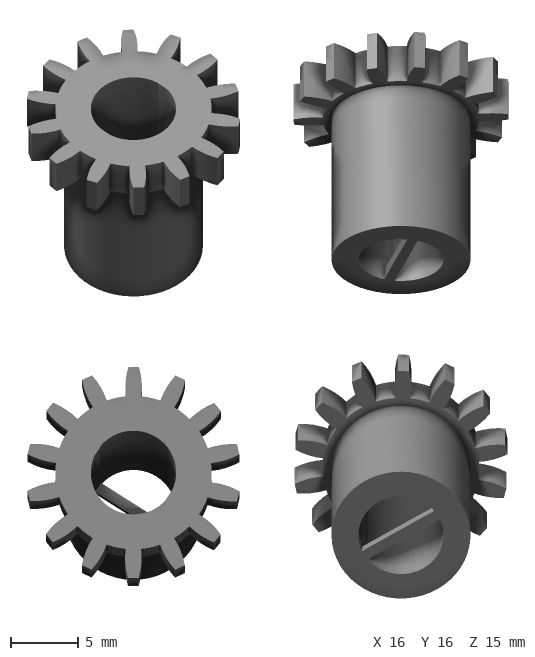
import cadquery as cq
import math

total_height = 15.0
gear_thickness = 3.0
shank_diameter = 10.34
bore_diameter = 6.35

tooth_count = 14
first_tooth_angle = 7.0
root_radius = 5.82
belly_radius = 6.79
tip_corner_radius = 8.0
root_half_width = 0.58
belly_half_width = 0.6
tip_half_width = 0.4

bar_width = 0.8
bar_height = bar_width

flat_spacing = 6.26

gear_base = total_height - gear_thickness


def make_tooth(angle):
    """One tooth with convex flanks and a flat tip, turned to the given angle."""
    root_x = math.sqrt(root_radius**2 - root_half_width**2)
    tip_x = math.sqrt(tip_corner_radius**2 - tip_half_width**2)
    hub_x = (bore_diameter + shank_diameter) / 4
    tooth = (
        cq.Workplane("XY")
        .workplane(offset=gear_base)
        .moveTo(hub_x, -root_half_width)
        .lineTo(root_x, -root_half_width)
        .threePointArc((belly_radius, -belly_half_width), (tip_x, -tip_half_width))
        .lineTo(tip_x, tip_half_width)
        .threePointArc((belly_radius, belly_half_width), (root_x, root_half_width))
        .lineTo(hub_x, root_half_width)
        .close()
        .extrude(gear_thickness)
    )
    return tooth.rotate((0, 0, 0), (0, 0, 1), angle)


def make_gear():
    gear = cq.Workplane("XY").workplane(offset=gear_base).circle(root_radius).extrude(gear_thickness)
    for index in range(tooth_count):
        gear = gear.union(make_tooth(first_tooth_angle + index * 360 / tooth_count))
    return gear


def make_cross_bar():
    """Bar that reaches into the shank wall at both ends."""
    bar_length = (bore_diameter + shank_diameter) / 2
    return cq.Workplane("XY").box(bar_width, bar_length, bar_height, centered=(True, True, False))


def make_bore():
    """Round bore with two shallow full-height flats, as wide as the bar, facing each other along Y."""
    bore = cq.Workplane("XY").circle(bore_diameter / 2).extrude(total_height)
    flat_depth = (bore_diameter - flat_spacing) / 2
    for side in (-1, 1):
        flat = (
            cq.Workplane("XY")
            .center(0, side * (flat_spacing + flat_depth) / 2)
            .rect(bar_width, flat_depth)
            .extrude(total_height)
        )
        bore = bore.cut(flat)
    return bore


shank = cq.Workplane("XY").circle(shank_diameter / 2).extrude(total_height)
bore = make_bore()

result = shank.union(make_gear()).cut(bore).union(make_cross_bar())